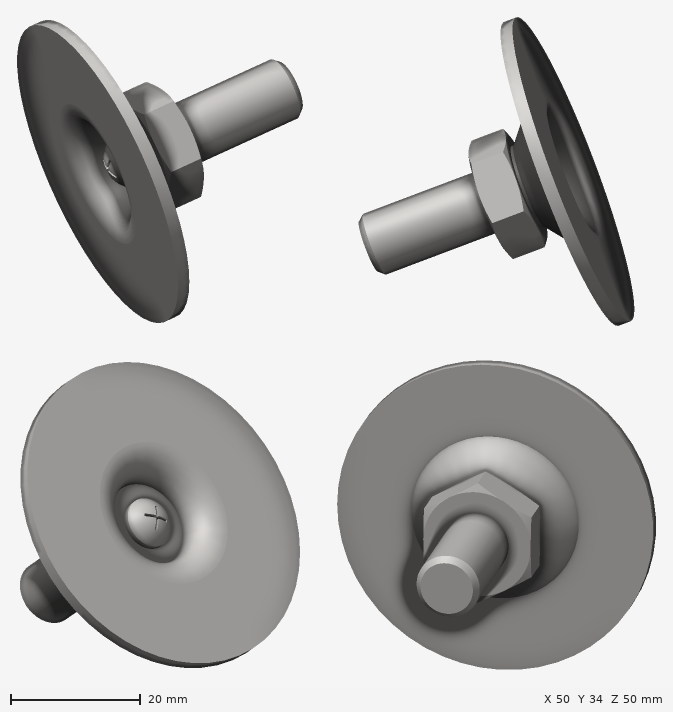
import cadquery as cq
import math

plate_diameter = 50
plate_thickness = 2
overall_length = 34

cone_base_radius = 13.25
cone_top_radius = 6.7
cone_top_y = 7.3

nut_start_y = 7.75
nut_end_y = 14
nut_across_flats = 17
nut_chamfer_height = 0.5
nut_face_radius = 8.5
nut_corner_radius = nut_across_flats / math.sqrt(3)

stud_radius = 5
stud_chamfer = 1
stud_tip_radius = 4.15

recess_floor_radius = 6.75
recess_depth = 5
recess_mouth_radius = recess_floor_radius + recess_depth

head_radius = 4
head_rim_height = 1
head_dome_height = 2.25
cross_length = 4.1
cross_width = 0.45
cross_depth = 1
head_top_y = recess_depth - head_rim_height - head_dome_height


def revolve_about_y(profile):
    return profile.close().revolve(360, (0, 0, 0), (0, 1, 0))


def make_body():
    """Plate, conical hub, neck and stud as one turned shape."""
    profile = (
        cq.Workplane("XY")
        .lineTo(plate_diameter / 2, 0)
        .lineTo(plate_diameter / 2, plate_thickness)
        .lineTo(cone_base_radius, plate_thickness)
        .lineTo(cone_top_radius, cone_top_y)
        .lineTo(cone_top_radius, nut_start_y)
        .lineTo(stud_radius, nut_start_y)
        .lineTo(stud_radius, overall_length - stud_chamfer)
        .lineTo(stud_tip_radius, overall_length)
        .lineTo(0, overall_length)
    )
    return revolve_about_y(profile)


def make_nut():
    """Hexagon with corners along Z, its corners trimmed by a cone at both ends."""
    hexagon_points = [
        (
            nut_corner_radius * math.sin(i * math.pi / 3),
            nut_corner_radius * math.cos(i * math.pi / 3),
        )
        for i in range(6)
    ]
    nut_height = nut_end_y - nut_start_y
    hexagon = (
        cq.Workplane("XZ", origin=(0, nut_end_y, 0))
        .polyline(hexagon_points)
        .close()
        .extrude(nut_height)
    )
    trim_profile = (
        cq.Workplane("XY")
        .moveTo(0, nut_start_y)
        .lineTo(nut_face_radius, nut_start_y)
        .lineTo(nut_corner_radius, nut_start_y + nut_chamfer_height)
        .lineTo(nut_corner_radius, nut_end_y - nut_chamfer_height)
        .lineTo(nut_face_radius, nut_end_y)
        .lineTo(0, nut_end_y)
    )
    return hexagon.intersect(revolve_about_y(trim_profile))


def make_recess():
    """Flared hollow: a quarter-round wall runs from the plate face to a flat floor."""
    arc_offset = recess_depth * math.sqrt(0.5)
    arc_middle = (recess_mouth_radius - arc_offset, recess_depth - arc_offset)
    profile = (
        cq.Workplane("XY")
        .lineTo(recess_mouth_radius, 0)
        .threePointArc(arc_middle, (recess_floor_radius, recess_depth))
        .lineTo(0, recess_depth)
    )
    return revolve_about_y(profile)


def make_screw_head():
    """Domed head on the recess floor, with a cross slot."""
    sphere_radius = (head_radius**2 + head_dome_height**2) / (2 * head_dome_height)
    rim_y = recess_depth - head_rim_height
    middle_radius = head_radius / 2
    middle_y = head_top_y + sphere_radius - math.sqrt(sphere_radius**2 - middle_radius**2)
    profile = (
        cq.Workplane("XY")
        .moveTo(0, recess_depth)
        .lineTo(head_radius, recess_depth)
        .lineTo(head_radius, rim_y)
        .threePointArc((middle_radius, middle_y), (0, head_top_y))
    )
    head = revolve_about_y(profile)
    for length_x, length_z in ((cross_length, cross_width), (cross_width, cross_length)):
        slot = cq.Workplane("XY").box(length_x, 2 * cross_depth, length_z)
        head = head.cut(slot.translate((0, head_top_y, 0)))
    return head


result = make_body().union(make_nut()).cut(make_recess()).union(make_screw_head())